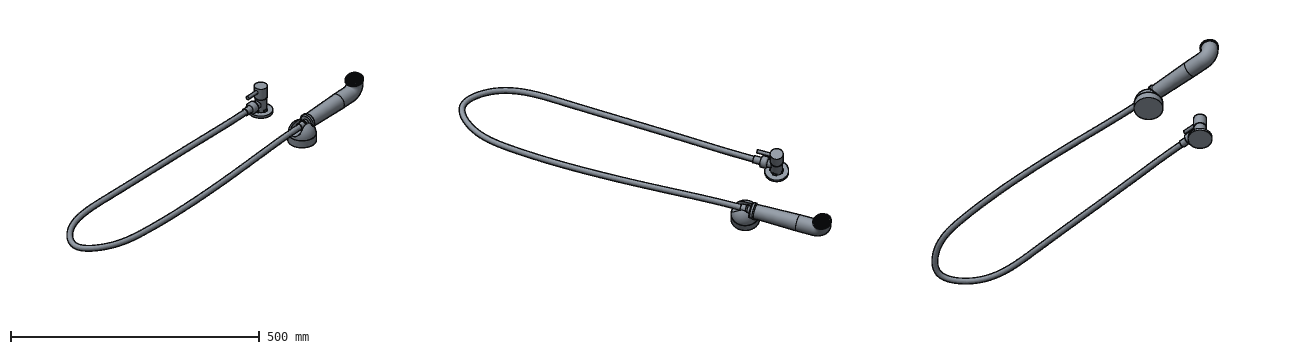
import cadquery as cq
import math


HOLDER_X = 129.0
HOLDER_Y = -24.0
HOLDER_BASE_DIA = 58.0
HOLDER_BASE_HEIGHT = 17.0
DOME_RADIUS = 28.0
CRADLE_DIA = 26.0
CRADLE_SLOT_WIDTH = 19.0

SHOWER_Z = 35.5
HANDLE_END_DIA = 30.0
HANDLE_HEAD_DIA = 34.0
HANDLE_END_Y = -2.5
HANDLE_HEAD_Y = 87.0
COLLAR_DIA = 34.0
COLLAR_LENGTH = 10.0
COLLAR_CHAMFER = 2.5
COLLAR_FACE_Y = HANDLE_END_Y - COLLAR_LENGTH

ELBOW_AXIS_Y = 122.0
ELBOW_BEND_RADIUS = 18.0
ELBOW_ANGLE = 100.0
NECK_LENGTH = 4.5

SPRAY_RIM_DIA = 38.0
SPRAY_STEPS = 3
SPRAY_STEP_HEIGHT = 3.15
SPRAY_STEP_INSET = 2.5
SPRAY_HEIGHT = SPRAY_STEPS * SPRAY_STEP_HEIGHT
NOZZLE_DIA = 0.75
NOZZLE_DEPTH = 2.0
NOZZLE_PITCH = 2.25
NOZZLE_RINGS = 6
NOZZLES_PER_RING_STEP = 6

FLANGE_DIA = 48.0
FLANGE_THICKNESS = 6.0
LUG_SPAN = 27.0
LUG_WIDTH = 9.0
LUG_TOP_Z = 10.5
STEM_DIA = 24.0
OUTLET_DIA = 17.0
OUTLET_Z = 23.0
OUTLET_FACE_Y = -18.5

CAP_DIA = 27.0
CAP_BOTTOM_Z = 36.0
CAP_TOP_Z = 63.0
LEVER_DIA = 7.5
LEVER_Z = 54.0
LEVER_REACH = 41.0

HOSE_DIA = 12.0
FITTING_DIA = 15.0
NUT_DIA = 24.0
NUT_LENGTH = 14.5
NUT_ROUNDING = 3.0
VALVE_FITTING_END_Y = -48.0
SHOWER_FITTING_END_Y = -33.0
FITTING_RING_DIA = 18.5
FITTING_RING_LENGTH = 3.0
FITTING_RING_Y = -22.0
HOSE_LOW_Y = -649.0
HOSE_LEFT_RUN = (-4.0, -177.0)
HOSE_LEFT_BEND = (-14.5, -459.5)
HOSE_LOWER_LEFT = (15.0, -612.5)
HOSE_BOTTOM_X = 63.0
HOSE_LOWER_RIGHT = (106.0, -612.5)
HOSE_RIGHT_BEND = (135.5, -517.5)
HOSE_RIGHT_BULGE = (141.0, -419.0)
HOSE_RIGHT_RUN = (135.0, -177.0)


def cylinder_along_y(x, z, diameter, y_from, y_to):
    """Cylinder parallel to Y between two Y positions."""
    plane = cq.Plane(origin=(x, min(y_from, y_to), z), xDir=(1, 0, 0), normal=(0, 1, 0))
    return cq.Workplane(plane).circle(diameter / 2).extrude(abs(y_to - y_from))


def make_holder():
    base = cq.Workplane("XY").center(HOLDER_X, HOLDER_Y).circle(HOLDER_BASE_DIA / 2)
    base = base.extrude(HOLDER_BASE_HEIGHT)
    dome_center = (HOLDER_X, HOLDER_Y, HOLDER_BASE_HEIGHT)
    dome = cq.Workplane("XY").sphere(DOME_RADIUS, angle1=0).translate(dome_center)
    front_y = HOLDER_Y - HOLDER_BASE_DIA / 2
    rear_y = HOLDER_Y + HOLDER_BASE_DIA / 2
    cradle = cylinder_along_y(HOLDER_X, SHOWER_Z, CRADLE_DIA, front_y, rear_y)
    slot = cq.Workplane("XY", origin=(HOLDER_X, HOLDER_Y, SHOWER_Z))
    slot = slot.rect(CRADLE_SLOT_WIDTH, HOLDER_BASE_DIA).extrude(DOME_RADIUS)
    collar_seat = cylinder_along_y(HOLDER_X, SHOWER_Z, COLLAR_DIA, COLLAR_FACE_Y, rear_y)
    return base.union(dome).cut(cradle).cut(slot).cut(collar_seat)


def make_handle():
    plane = cq.Plane(origin=(HOLDER_X, HANDLE_END_Y, SHOWER_Z), xDir=(1, 0, 0), normal=(0, 1, 0))
    grip = cq.Workplane(plane).circle(HANDLE_END_DIA / 2)
    grip = grip.workplane(offset=HANDLE_HEAD_Y - HANDLE_END_Y).circle(HANDLE_HEAD_DIA / 2).loft()
    collar = cylinder_along_y(HOLDER_X, SHOWER_Z, COLLAR_DIA, COLLAR_FACE_Y, HANDLE_END_Y)
    collar = collar.edges().chamfer(COLLAR_CHAMFER)
    return grip.union(collar)


def elbow_exit_plane(distance):
    """Plane square to the elbow's outlet axis, a given distance past the bend."""
    lean = math.radians(ELBOW_ANGLE - 90)
    along_y = -math.sin(lean)
    along_z = math.cos(lean)
    exit_y = ELBOW_AXIS_Y + ELBOW_BEND_RADIUS * math.cos(lean)
    exit_z = SHOWER_Z + ELBOW_BEND_RADIUS * (1 + math.sin(lean))
    origin = (HOLDER_X, exit_y + distance * along_y, exit_z + distance * along_z)
    return cq.Plane(origin=origin, xDir=(1, 0, 0), normal=(0, along_y, along_z))


def make_head():
    inlet = cylinder_along_y(HOLDER_X, SHOWER_Z, HANDLE_HEAD_DIA, HANDLE_HEAD_Y, ELBOW_AXIS_Y)
    radius = HANDLE_HEAD_DIA / 2
    plane = cq.Plane(
        origin=(HOLDER_X, ELBOW_AXIS_Y, SHOWER_Z + ELBOW_BEND_RADIUS), xDir=(1, 0, 0), normal=(0, -1, 0)
    )
    bend = (
        cq.Workplane(plane)
        .center(0, -ELBOW_BEND_RADIUS)
        .circle(radius)
        .revolve(ELBOW_ANGLE, (0, ELBOW_BEND_RADIUS, 0), (1, ELBOW_BEND_RADIUS, 0))
    )
    neck = cq.Workplane(elbow_exit_plane(0)).circle(radius).extrude(NECK_LENGTH)
    return inlet.union(bend).union(neck)


def make_spray_face():
    face = cq.Workplane(elbow_exit_plane(NECK_LENGTH)).circle(SPRAY_RIM_DIA / 2).extrude(SPRAY_STEP_HEIGHT)
    for step in range(1, SPRAY_STEPS):
        tier = cq.Workplane(elbow_exit_plane(NECK_LENGTH + step * SPRAY_STEP_HEIGHT))
        tier = tier.circle(SPRAY_RIM_DIA / 2 - step * SPRAY_STEP_INSET).extrude(SPRAY_STEP_HEIGHT)
        face = face.union(tier)
    top_plane = elbow_exit_plane(NECK_LENGTH + SPRAY_HEIGHT)
    face = face.cut(cq.Workplane(top_plane).circle(NOZZLE_DIA / 2).extrude(-NOZZLE_DEPTH))
    for ring in range(1, NOZZLE_RINGS + 1):
        holes = cq.Workplane(top_plane).polarArray(ring * NOZZLE_PITCH, 0, 360, NOZZLES_PER_RING_STEP * ring)
        face = face.cut(holes.circle(NOZZLE_DIA / 2).extrude(-NOZZLE_DEPTH))
    return face


def make_valve_body():
    flange = cq.Workplane("XY").circle(FLANGE_DIA / 2).extrude(FLANGE_THICKNESS)
    stem = cq.Workplane("XY").circle(STEM_DIA / 2).extrude(CAP_BOTTOM_Z)
    lugs = cq.Workplane("XY").rect(LUG_SPAN, LUG_WIDTH).extrude(LUG_TOP_Z)
    lugs = lugs.union(lugs.rotate((0, 0, 0), (0, 0, 1), 90))
    outlet = cylinder_along_y(0, OUTLET_Z, OUTLET_DIA, OUTLET_FACE_Y, 0)
    return flange.union(stem).union(lugs).union(outlet)


def make_valve_cap():
    cap = cq.Workplane("XY", origin=(0, 0, CAP_BOTTOM_Z)).circle(CAP_DIA / 2)
    cap = cap.extrude(CAP_TOP_Z - CAP_BOTTOM_Z)
    return cap.union(cylinder_along_y(0, LEVER_Z, LEVER_DIA, -LEVER_REACH, 0))


def make_hose():
    rise = SHOWER_Z - OUTLET_Z

    def on_slope(x, y):
        return cq.Vector(x, y, OUTLET_Z + rise * x / HOLDER_X)

    points = [
        on_slope(0, VALVE_FITTING_END_Y),
        on_slope(*HOSE_LEFT_RUN),
        on_slope(*HOSE_LEFT_BEND),
        on_slope(*HOSE_LOWER_LEFT),
        on_slope(HOSE_BOTTOM_X, HOSE_LOW_Y + HOSE_DIA / 2),
        on_slope(*HOSE_LOWER_RIGHT),
        on_slope(*HOSE_RIGHT_BEND),
        on_slope(*HOSE_RIGHT_BULGE),
        on_slope(*HOSE_RIGHT_RUN),
        on_slope(HOLDER_X, SHOWER_FITTING_END_Y),
    ]
    center_line = cq.Edge.makeSpline(points, tangents=[cq.Vector(0, -1, 0), cq.Vector(0, 1, 0)])
    start = cq.Plane(origin=points[0].toTuple(), xDir=(1, 0, 0), normal=(0, -1, 0))
    tube = cq.Workplane(start).circle(HOSE_DIA / 2).sweep(cq.Workplane(center_line))

    nut = cylinder_along_y(0, OUTLET_Z, NUT_DIA, OUTLET_FACE_Y - NUT_LENGTH, OUTLET_FACE_Y)
    nut = nut.edges().fillet(NUT_ROUNDING)
    valve_fitting = cylinder_along_y(0, OUTLET_Z, FITTING_DIA, VALVE_FITTING_END_Y, OUTLET_FACE_Y)
    shower_fitting = cylinder_along_y(
        HOLDER_X, SHOWER_Z, FITTING_DIA, SHOWER_FITTING_END_Y, COLLAR_FACE_Y
    )
    ring = cylinder_along_y(
        HOLDER_X, SHOWER_Z, FITTING_RING_DIA, FITTING_RING_Y, FITTING_RING_Y + FITTING_RING_LENGTH
    )
    return tube.union(valve_fitting).union(nut).union(shower_fitting).union(ring)


holder = make_holder()
handle = make_handle()
head = make_head()
spray_face = make_spray_face()
valve_body = make_valve_body()
valve_cap = make_valve_cap()
hose = make_hose()

result = cq.Compound.makeCompound(
    [
        holder.val(),
        handle.val(),
        head.val(),
        spray_face.val(),
        valve_body.val(),
        valve_cap.val(),
        hose.val(),
    ]
)